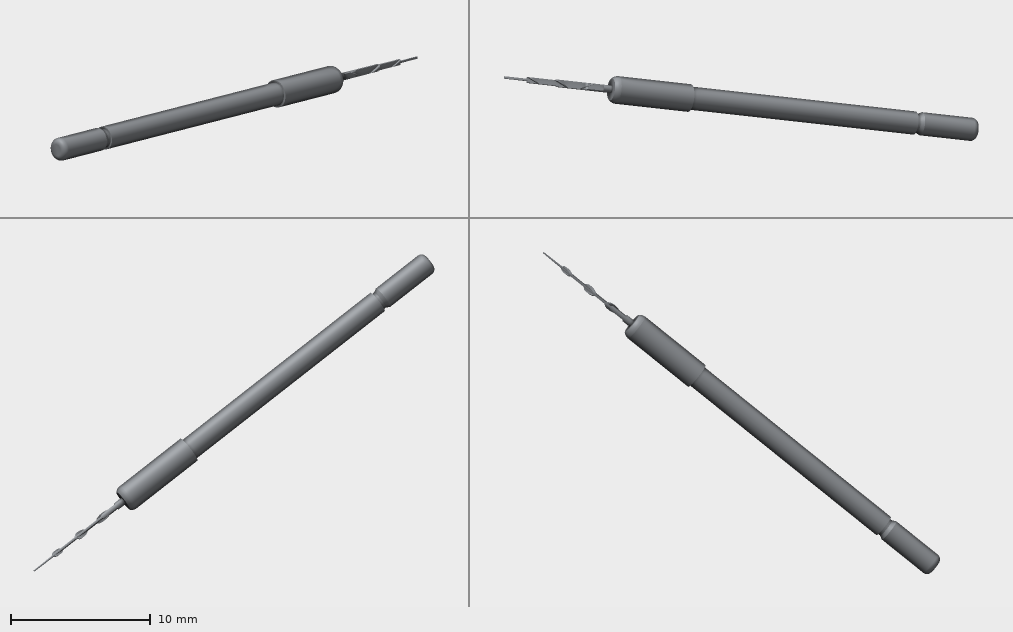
import cadquery as cq
import math

total_length = 36.3

seat_depth = 0.35

handle_radius = 0.85
butt_fillet = 0.4

groove_start = 4.25
groove_floor_start = 4.55
groove_end = 4.75
groove_depth = 0.15

collar_radius = 2.0 / 2
collar_start = 22.07
collar_end = 28.1
nose_length = 0.45
nose_radius = 0.8

blank_radius = 0.272
middle_radius = 0.2
point_radius = 0.09
middle_start = total_length - 3.95
point_start = total_length - 1.75
shank_end = total_length - 7.55
rib_pitch = 2.1
front_rib = total_length - 2.15
middle_rib = front_rib - rib_pitch
rear_rib = middle_rib - rib_pitch
rib_half_length = 0.07
rib_slope = 2.0
neck_half_thickness = 0.165
web_half_thickness = 0.07
point_half_thickness = 0.05


def rod(radius, start, end):
    """Round bar along Y."""
    return cq.Workplane("XZ", origin=(0, start, 0)).circle(radius).extrude(start - end)


def make_handle():
    handle = rod(handle_radius, 0, collar_start + seat_depth).faces("<Y").edges().fillet(butt_fillet)
    groove = (
        cq.Workplane("XY")
        .moveTo(handle_radius, groove_start)
        .lineTo(handle_radius - groove_depth, groove_floor_start)
        .lineTo(handle_radius - groove_depth, groove_end)
        .lineTo(collar_radius, groove_end)
        .lineTo(collar_radius, groove_start)
        .close()
        .revolve(360, (0, 0, 0), (0, 1, 0))
    )
    return handle.cut(groove)


def make_collar():
    """Collar whose nose curves in tangentially to a smaller flat end."""
    nose_drop = collar_radius - nose_radius
    arc_radius = (nose_drop**2 + nose_length**2) / (2 * nose_drop)
    half_angle = math.asin(nose_length / arc_radius) / 2
    arc_middle = (
        collar_radius - arc_radius * (1 - math.cos(half_angle)),
        collar_end - nose_length + arc_radius * math.sin(half_angle),
    )
    return (
        cq.Workplane("XY")
        .moveTo(0, collar_start)
        .lineTo(collar_radius, collar_start)
        .lineTo(collar_radius, collar_end - nose_length)
        .threePointArc(arc_middle, (nose_radius, collar_end))
        .lineTo(0, collar_end)
        .close()
        .revolve(360, (0, 0, 0), (0, 1, 0))
    )


def make_web():
    """Thin plate through the tip, thicker at the neck between shank and rear rib."""
    half_profile = [
        (neck_half_thickness, shank_end),
        (neck_half_thickness, rear_rib),
        (web_half_thickness, rear_rib + 2 * rib_half_length),
        (web_half_thickness, front_rib),
        (point_half_thickness, total_length),
    ]
    mirrored_profile = [(-x, y) for x, y in reversed(half_profile)]
    outline = cq.Workplane("XY").polyline(half_profile + mirrored_profile).close()
    return outline.extrude(collar_radius, both=True)


def make_rib(center, slope):
    """Slanted wall across the tip, long enough to pass right through the blank."""
    reach = collar_radius
    shift = reach * slope
    return (
        cq.Workplane("YZ")
        .polyline([
            (center - rib_half_length - shift, -reach),
            (center + rib_half_length - shift, -reach),
            (center + rib_half_length + shift, reach),
            (center - rib_half_length + shift, reach),
        ])
        .close()
        .extrude(reach, both=True)
    )


def make_tip():
    blank = (
        rod(blank_radius, shank_end, middle_start)
        .union(rod(middle_radius, middle_start, point_start))
        .union(rod(point_radius, point_start, total_length))
    )
    tip = rod(blank_radius, collar_end - seat_depth, shank_end).union(blank.intersect(make_web()))
    rib_slopes = [(front_rib, rib_slope), (middle_rib, rib_slope), (rear_rib, -rib_slope)]
    for center, slope in rib_slopes:
        tip = tip.union(blank.intersect(make_rib(center, slope)))
    return tip


result = make_handle().union(make_collar()).union(make_tip())